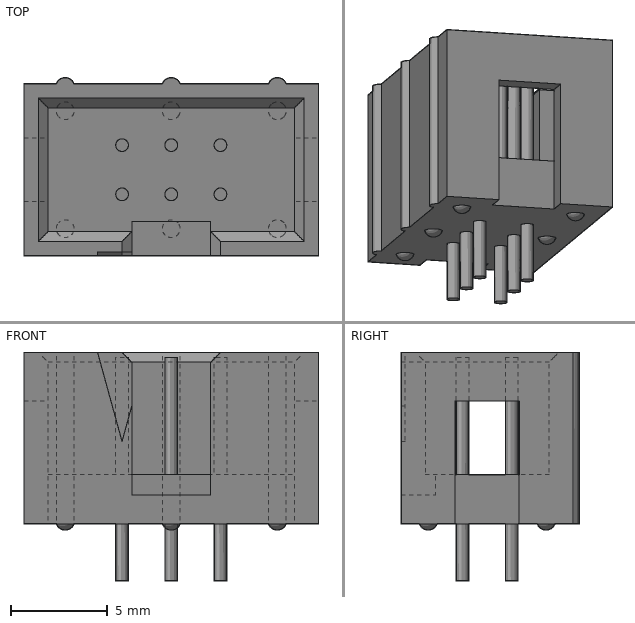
import cadquery as cq

length = 15.24
depth = 8.9
height = 8.87
wall = 1.25
floor_height = 2.55
rim_chamfer = 0.5

pin_pitch = 2.55
pin_diameter = 0.65
pin_top = 8.61
pin_tail = 2.94
pin_columns = 3
pin_rows = 2

key_width = 4.08
key_bottom = 1.5
key_depth = 1.77

window_width = 3.3
window_top = 6.35

arrow_half_width = 1.26
arrow_height = 4.6
arrow_depth = 0.2

bump_radius = 0.49
bump_height = 0.32
bump_spacing = 5.49
foot_row_spacing = 6.1
foot_rows = 2
bump_columns = 3

front = -depth / 2
back = depth / 2
bump_inset = bump_radius - bump_height


def block(x_size, y_size, z_bottom, z_top):
    """Box centred on X and Y between two heights."""
    return (
        cq.Workplane("XY")
        .workplane(offset=z_bottom)
        .rect(x_size, y_size)
        .extrude(z_top - z_bottom)
    )


def make_housing():
    """Open box whose inner rim is chamfered."""
    cavity_length = length - 2 * wall
    cavity_depth = depth - 2 * wall
    housing = block(length, depth, 0, height)
    cavity = block(cavity_length, cavity_depth, floor_height, height)
    rim = (
        cq.Workplane("XY")
        .workplane(offset=height - rim_chamfer)
        .rect(cavity_length, cavity_depth)
        .workplane(offset=rim_chamfer)
        .rect(cavity_length + 2 * rim_chamfer, cavity_depth + 2 * rim_chamfer)
        .loft(ruled=True)
    )
    return housing.cut(cavity).cut(rim)


def make_key_slot():
    """Front slot that flares at the top and bites into the floor."""
    half_width = key_width / 2
    flare_half_width = half_width + rim_chamfer
    passage = (
        cq.Workplane("XZ", origin=(0, front + wall, 0))
        .moveTo(-half_width, key_bottom)
        .lineTo(half_width, key_bottom)
        .lineTo(half_width, height - rim_chamfer)
        .lineTo(flare_half_width, height)
        .lineTo(-flare_half_width, height)
        .lineTo(-half_width, height - rim_chamfer)
        .close()
        .extrude(wall)
    )
    floor_notch = block(key_width, key_depth, key_bottom, floor_height)
    return passage.union(floor_notch.translate((0, front + key_depth / 2, 0)))


def make_end_windows():
    """Openings through both end walls, down to the underside."""
    window = block(wall, window_width, 0, window_top)
    offset = (length - wall) / 2
    return window.translate((-offset, 0, 0)).union(window.translate((offset, 0, 0)))


def make_arrow():
    """Shallow triangular recess pointing down at the first pin column."""
    return (
        cq.Workplane("XZ", origin=(-pin_pitch, front + arrow_depth, 0))
        .moveTo(-arrow_half_width, height)
        .lineTo(arrow_half_width, height)
        .lineTo(0, height - arrow_height)
        .close()
        .extrude(arrow_depth)
    )


def make_pins():
    return (
        cq.Workplane("XY")
        .workplane(offset=-pin_tail)
        .rarray(pin_pitch, pin_pitch, pin_columns, pin_rows)
        .circle(pin_diameter / 2)
        .extrude(pin_tail + pin_top)
    )


def make_back_ribs():
    """Full-height cylinders mostly buried in the back wall."""
    return (
        cq.Workplane("XY", origin=(0, back - bump_inset, 0))
        .rarray(bump_spacing, 0.15, bump_columns, 1)
        .circle(bump_radius)
        .extrude(height)
    )


def make_feet():
    """Spheres mostly buried in the underside."""
    return (
        cq.Workplane("XY", origin=(0, 0, bump_inset))
        .rarray(bump_spacing, foot_row_spacing, bump_columns, foot_rows)
        .sphere(bump_radius)
    )


result = (
    make_housing()
    .cut(make_key_slot())
    .cut(make_end_windows())
    .cut(make_arrow())
    .union(make_back_ribs())
    .union(make_feet())
    .union(make_pins())
)